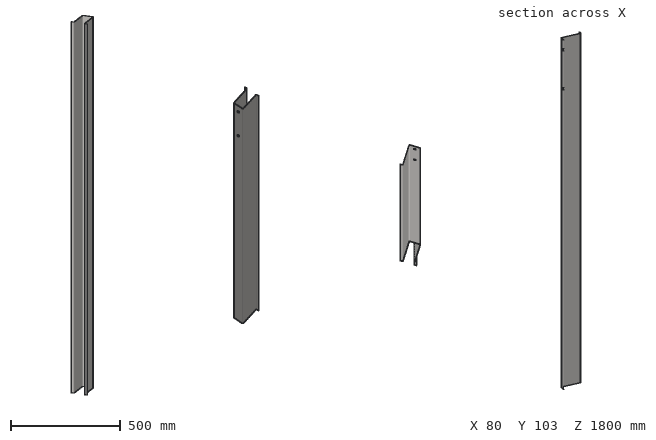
import cadquery as cq

length = 1800.0
overall_width = 80.0
depth = 103.0

thickness = 3.0
channel_width = 55.0
inner_bend_radius = 2.0

hole_diameter = 13.0
hole_offsets = (50.0, 250.0)

half_width = overall_width / 2
half_channel = channel_width / 2
outer_bend_radius = inner_bend_radius + thickness


def make_channel():
    """Folded channel, open toward -Y, with an outward flange on each leg."""
    half_inside = half_channel - thickness
    web_front = depth - thickness
    half_outline = [
        (0, depth),
        (half_channel, depth),
        (half_channel, thickness),
        (half_width, thickness),
        (half_width, 0),
        (half_inside, 0),
        (half_inside, web_front),
        (0, web_front),
    ]
    outer_bends = [(half_channel, depth), (half_inside, 0)]
    inner_bends = [(half_inside, web_front), (half_channel, thickness)]

    half = cq.Workplane("XY").polyline(half_outline).close().extrude(length)
    for bends, radius in ((outer_bends, outer_bend_radius), (inner_bends, inner_bend_radius)):
        for x, y in bends:
            edge = cq.selectors.NearestToPointSelector((x, y, length / 2))
            half = half.edges("|Z").edges(edge).fillet(radius)
    return half.union(half.mirror("YZ")).clean()


def make_hole(offset):
    """Round cutter passing through the web along Y."""
    return (
        cq.Workplane("XZ", origin=(0, depth, length - offset))
        .circle(hole_diameter / 2)
        .extrude(thickness)
    )


result = make_channel()
for hole_offset in hole_offsets:
    result = result.cut(make_hole(hole_offset))